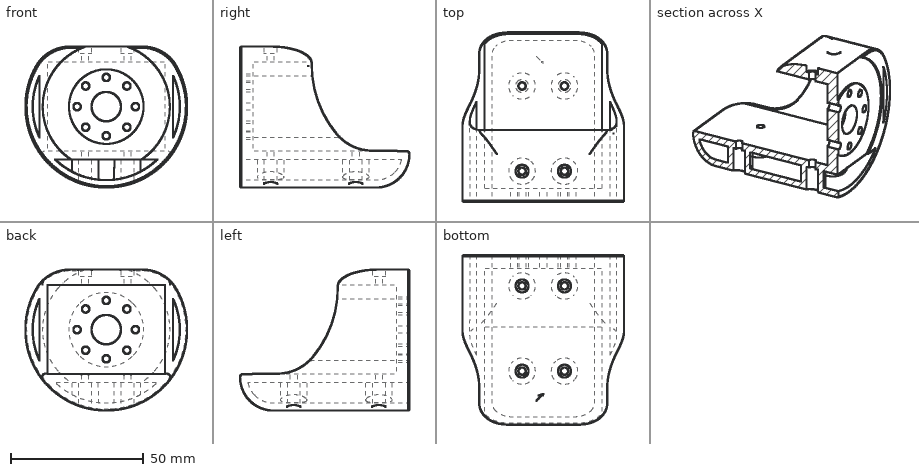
import cadquery as cq
import math

length = 64.15
width = 61.3
height = 53.4
barrel_radius = width / 2
top_z = height - barrel_radius
shoulder_angle = math.radians(30)
front_chamfer = 0.5
clearance = 2 * barrel_radius
overshoot = 0.65

shell_thickness = 2.8
inner_radius = barrel_radius - shell_thickness
plate_thickness = 5.0
wall_thickness = 3.15
bay_half_width = 22.15
bay_half_height = 16.9
slot_x = bay_half_width + wall_thickness
pocket_top_z = -(bay_half_height + wall_thickness)

lip_z = -16.6
lip_end_y = 49.9
sweep_lower_radius = 17.25
sweep_angle = math.radians(50)
back_y = 27.2
crown_start_y = 12.1
crown_height = 6.4
rim_fillet = 1.55

end_radius = 12.7
end_fillet = 8.35
end_overlap = 0.03

recess_radius = 24.05
recess_depth = 0.5
pad_radius = 14.1
bore_radius = 5.5
horn_hole_count = 8
horn_circle_radius = 11.05
small_hole_diameter = 2.7

screw_x = 8.0
front_screw_y = 11.6
rear_screw_y = 43.8
screw_rows = (front_screw_y, rear_screw_y)
head_diameter = 4.9
head_edge_fillet = 0.6
mouth_reach = 0.95
screw_boss_diameter = 10.0


def extrude_back(outline, start, end):
    """Extrude an XZ outline toward +Y, from y = start to y = end."""
    return outline.extrude(start - end).translate((0, start, 0))


def extrude_across(outline):
    """Extrude a YZ outline along X, past both sides of the body."""
    return outline.extrude(2 * clearance).translate((-clearance, 0, 0))


def barrel_body():
    """Full-length barrel with a flat top and rounded shoulders."""
    sin_a = math.sin(shoulder_angle)
    cos_a = math.cos(shoulder_angle)
    shoulder_radius = (top_z - barrel_radius * sin_a) / (1 - sin_a)
    flat_half_width = (barrel_radius - shoulder_radius) * cos_a
    side_x = barrel_radius * cos_a
    side_z = barrel_radius * sin_a
    outline = (
        cq.Workplane("XZ")
        .moveTo(-flat_half_width, top_z)
        .lineTo(flat_half_width, top_z)
        .tangentArcPoint((side_x, side_z), relative=False)
        .threePointArc((0, -barrel_radius), (-side_x, side_z))
        .tangentArcPoint((-flat_half_width, top_z), relative=False)
        .close()
    )
    return extrude_back(outline, 0, length)


def round_off_end(solid, inset, skin_radius):
    """Round the lower far end of a barrel, `inset` inside the outer end surface."""
    arc_radius = end_radius - inset
    arc_y = length - end_radius
    arc_z = -skin_radius + arc_radius - end_overlap
    profile = (
        cq.Workplane("YZ")
        .moveTo(-overshoot, clearance)
        .lineTo(-overshoot, arc_z - arc_radius)
        .lineTo(arc_y, arc_z - arc_radius)
        .tangentArcPoint((arc_y + arc_radius, arc_z), relative=False)
        .lineTo(arc_y + arc_radius, clearance)
        .close()
    )
    trimmed = solid.intersect(extrude_across(profile))
    lowest_edge = cq.selectors.NearestToPointSelector((0, length, -barrel_radius))
    return trimmed.edges(lowest_edge).fillet(end_fillet - inset)


def sweep_cutter():
    """Everything above the tongue and behind the barrel, bounded by two tangent arcs."""
    joint_y = lip_end_y - sweep_lower_radius * math.sin(sweep_angle)
    joint_z = lip_z + sweep_lower_radius * (1 - math.cos(sweep_angle))
    upper_radius = (joint_y - back_y) / (1 - math.sin(sweep_angle))
    upper_z = joint_z + upper_radius * math.cos(sweep_angle)
    profile = (
        cq.Workplane("YZ")
        .moveTo(length + overshoot, lip_z)
        .lineTo(lip_end_y, lip_z)
        .tangentArcPoint((joint_y, joint_z), relative=False)
        .tangentArcPoint((back_y, upper_z), relative=False)
        .lineTo(back_y, clearance)
        .lineTo(length + overshoot, clearance)
        .close()
    )
    return extrude_across(profile)


def crown_cutter():
    """Elliptical rounding from the flat top down to the back of the barrel."""
    crown_z = top_z - crown_height
    profile = (
        cq.Workplane("YZ")
        .moveTo(back_y, crown_z)
        .ellipseArc(back_y - crown_start_y, crown_height, 0, 90, startAtCurrent=True)
        .lineTo(crown_start_y, clearance)
        .lineTo(length + overshoot, clearance)
        .lineTo(length + overshoot, crown_z)
        .close()
    )
    return extrude_across(profile)


def bay_cutter():
    """Box-shaped bay from the front plate out through the far end."""
    outline = cq.Workplane("XZ").rect(2 * bay_half_width, 2 * bay_half_height)
    return extrude_back(outline, plate_thickness, length + overshoot)


def side_slot_cutter():
    """Space between the flat bay walls and the round shell, open at both ends."""
    barrel = extrude_back(cq.Workplane("XZ").circle(inner_radius), 0, length)
    return barrel.cut(cq.Workplane("XY").box(2 * slot_x, 3 * length, clearance))


def screw_cylinders(diameter, rows):
    """Full-height vertical cylinders on the screw axes of the given rows."""
    points = [(side * screw_x, y) for y in rows for side in (-1, 1)]
    return (
        cq.Workplane("XY")
        .workplane(offset=-clearance)
        .pushPoints(points)
        .circle(diameter / 2)
        .extrude(2 * clearance)
    )


def lower_pocket_cutter():
    """Space below the bay floor, open at the front, with the screw bosses left standing."""
    barrel = extrude_back(cq.Workplane("XZ").circle(inner_radius), 0, length)
    space = round_off_end(barrel, shell_thickness, inner_radius)
    above = (
        cq.Workplane("XY")
        .workplane(offset=pocket_top_z)
        .rect(clearance, 3 * length)
        .extrude(clearance)
    )
    return space.cut(above).cut(screw_cylinders(screw_boss_diameter, screw_rows))


def horn_face_cutter():
    """Shallow recess around the raised pad, cut from the front face."""
    ring = cq.Workplane("XZ").circle(recess_radius).circle(pad_radius)
    return extrude_back(ring, 0, recess_depth)


def horn_hole_cutter():
    """Central bore and the ring of screw holes through the front plate."""
    bore = cq.Workplane("XZ").circle(bore_radius).extrude(-plate_thickness)
    screws = (
        cq.Workplane("XZ")
        .polarArray(horn_circle_radius, 0, 360, horn_hole_count)
        .circle(small_hole_diameter / 2)
        .extrude(-plate_thickness)
    )
    return bore.union(screws)


def counterbore(solid, seat_z, skin_z, rows):
    """Cut screw-head counterbores from the seat out through the skin and round their mouths."""
    outer_z = math.copysign(clearance, skin_z)
    slab = cq.Workplane("XY").box(clearance, 3 * length, abs(outer_z - seat_z))
    slab = slab.translate((0, 0, (seat_z + outer_z) / 2))
    solid = solid.cut(screw_cylinders(head_diameter, rows).intersect(slab))
    reach = head_diameter / 2
    for y in rows:
        for x in (-screw_x, screw_x):
            mouth = cq.selectors.BoxSelector(
                (x - reach, y - reach, skin_z - mouth_reach),
                (x + reach, y + reach, skin_z + mouth_reach),
            )
            solid = solid.edges(mouth).fillet(head_edge_fillet)
    return solid


body = round_off_end(barrel_body(), 0, barrel_radius)
body = body.cut(sweep_cutter())
rim_edge = cq.selectors.NearestToPointSelector((0, length, lip_z))
body = body.edges(rim_edge).fillet(rim_fillet)
body = body.cut(crown_cutter())
body = body.faces("<Y").chamfer(front_chamfer)

barrel_skin_z = -math.sqrt(barrel_radius**2 - screw_x**2)
body = counterbore(body, -pocket_top_z, top_z, (front_screw_y,))
body = counterbore(body, pocket_top_z, barrel_skin_z, screw_rows)

body = body.cut(bay_cutter())
body = body.cut(side_slot_cutter())
body = body.cut(lower_pocket_cutter())
body = body.cut(horn_face_cutter())
body = body.cut(horn_hole_cutter())
body = body.cut(screw_cylinders(small_hole_diameter, screw_rows))

result = body